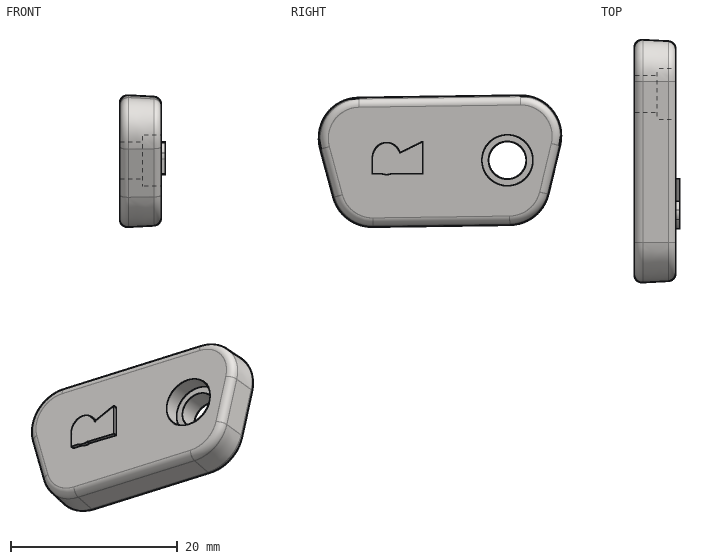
import cadquery as cq
import math

thickness = 5.02
height = 15.72
mid_width = 28.1
side_angle = 14.3
tilt = 0.8
corner_radius = 4.95
draft_angle = 3.0
edge_radius = 1.0

hole_y = 8.05
hole_z = 0.12
hole_diameter = 4.5
counterbore_diameter = 6.12
counterbore_depth = 2.27

pad_height = 0.5
pad_left = -8.16
pad_right = -2.13
pad_bottom = -1.5
pad_top = 2.35
hump_half_width = 1.72
hump_rise = 1.92
hump_base = 0.32
valley_y = -4.85
pad_overlap = 0.3


def make_body():
    half_height = height / 2
    lean = half_height * math.tan(math.radians(side_angle))
    top_half_width = mid_width / 2 + lean
    bottom_half_width = mid_width / 2 - lean
    corners = [
        (-top_half_width, half_height),
        (top_half_width, half_height),
        (bottom_half_width, -half_height),
        (-bottom_half_width, -half_height),
    ]
    outline = cq.Sketch().polygon(corners + corners[:1]).vertices().fillet(corner_radius)
    body = cq.Workplane("YZ").placeSketch(outline).extrude(thickness, taper=draft_angle)
    body = body.faces("<X or >X").edges().fillet(edge_radius)
    return body.rotate((0, 0, 0), (1, 0, 0), tilt)


def make_pad():
    hump_center = pad_left + hump_half_width
    valley_offset = (valley_y - hump_center) / hump_half_width
    valley_z = hump_base + hump_rise * math.sqrt(1 - valley_offset**2)

    hump = (
        cq.Workplane("YZ", origin=(thickness - pad_overlap, hump_center, hump_base))
        .ellipse(hump_half_width, hump_rise)
        .extrude(pad_height + pad_overlap)
    )
    base = (
        cq.Workplane("YZ", origin=(thickness - pad_overlap, 0, 0))
        .polyline([
            (pad_left, pad_bottom),
            (pad_left, hump_base),
            (hump_center, hump_base),
            (valley_y, valley_z),
            (pad_right, pad_top),
            (pad_right, pad_bottom),
        ])
        .close()
        .extrude(pad_height + pad_overlap)
    )
    return base.union(hump)


def cut_hole(solid):
    face = cq.Plane(origin=(thickness, hole_y, hole_z), xDir=(0, 1, 0), normal=(1, 0, 0))
    bore = cq.Workplane(face).circle(hole_diameter / 2).extrude(-thickness)
    counterbore = cq.Workplane(face).circle(counterbore_diameter / 2).extrude(-counterbore_depth)
    return solid.cut(bore).cut(counterbore)


result = cut_hole(make_body().union(make_pad()))